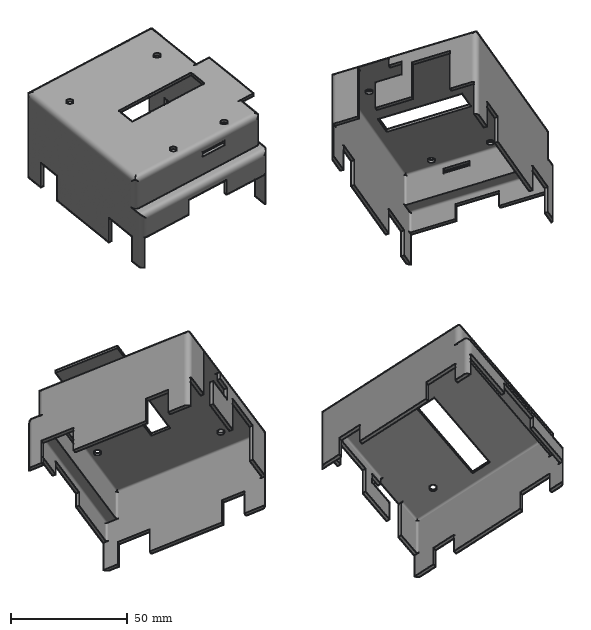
import cadquery as cq

length = 79.6
depth = 69.6
height = 47.5
wall = 1.6
edge_radius = 2.55
step_width = 5.0
step_height = 30.25
main_length = length - step_width
lower_start = main_length / 2

tab_left = 32.0
tab_right = 62.3
tab_reach = 75.5
plate_underside = height - wall

window_left, window_right = 34.9, 44.0
window_front, window_back = 23.25, 63.1
hole_diameter = 3.2
left_hole_x, left_hole_ys = 16.9, (10.7, 58.9)
right_hole_x, right_hole_ys = 69.1, (25.6, 53.65)

foot_notch_height = 14.0
foot_notches = [(10.35, 21.3), (56.75, 72.4)]

left_wall_bottom = 18.1
tongue_bottom = 19.9
tongue_front, tongue_back = 30.8, 48.15
front_opening_start = 12.8
front_opening_top = 39.4
back_opening_end = 56.5
tall_opening_start = 41.9
ledge_front = 35.7
ledge_bottom, ledge_top = 34.4, 41.6

right_wall_bottom = 17.1
right_notch_front, right_notch_back = 25.8, 46.6
right_notch_top = 25.5
slot_front, slot_back = 37.5, 49.75
slot_bottom, slot_top = 40.35, 42.8


def block(x_range, y_range, z_range):
    """Axis-aligned block between pairs of coordinates."""
    sizes = [end - start for start, end in (x_range, y_range, z_range)]
    corner = (x_range[0], y_range[0], z_range[0])
    return cq.Workplane("XY").box(*sizes, centered=False).translate(corner)


def mitred_block(x_range, y_range, z_range, edge_groups, radius):
    """Block whose rounded edges meet in mitres: one copy rounded per edge group, all intersected."""
    body = block(x_range, y_range, z_range)
    for edge_group in edge_groups:
        body = body.intersect(block(x_range, y_range, z_range).edges(edge_group).fillet(radius))
    return body


def stepped_body(inset):
    """Rounded stepped body, with every face except the bottom moved in by inset."""
    radius = edge_radius - inset
    y_range = (inset, depth - inset)
    main_x = (inset, main_length - inset)
    main_edges = ("|Z", "|X and >Z", "|Y and >Z")
    main = mitred_block(main_x, y_range, (0, height - inset), main_edges, radius)
    lower_x = (lower_start, length - inset)
    lower_edges = ("|Z and >X", "|Y and >X and >Z")
    lower = mitred_block(lower_x, y_range, (0, step_height - inset), lower_edges, radius)
    return main.union(lower)


def left_wall_cut(y_range, z_range):
    return block((0, edge_radius), y_range, z_range)


def right_wall_cut(y_range, z_range):
    return block((main_length - edge_radius, length), y_range, z_range)


shell = stepped_body(0).cut(stepped_body(wall))
rear_tab = block((tab_left, tab_right), (depth - edge_radius, tab_reach), (plate_underside, height))
shell = shell.union(rear_tab)

shell = shell.cut(block((window_left, window_right), (window_front, window_back), (plate_underside, height)))
hole_centres = [(left_hole_x, y) for y in left_hole_ys] + [(right_hole_x, y) for y in right_hole_ys]
holes = (
    cq.Workplane("XY", origin=(0, 0, plate_underside))
    .pushPoints(hole_centres)
    .circle(hole_diameter / 2)
    .extrude(wall)
)
shell = shell.cut(holes)

for notch in foot_notches:
    shell = shell.cut(block(notch, (0, depth), (0, foot_notch_height)))

inner_width = (wall, depth - wall)
left_cuts = [
    (inner_width, (0, left_wall_bottom)),
    ((tongue_front, tongue_back), (0, tongue_bottom)),
    ((front_opening_start, tongue_front), (0, front_opening_top)),
    ((tongue_back, back_opening_end), (0, plate_underside)),
    ((tall_opening_start, back_opening_end), (ledge_bottom, plate_underside)),
    ((ledge_front, back_opening_end), (ledge_bottom, ledge_top)),
]
for y_range, z_range in left_cuts:
    shell = shell.cut(left_wall_cut(y_range, z_range))

right_cuts = [
    (inner_width, (0, right_wall_bottom)),
    ((right_notch_front, right_notch_back), (0, right_notch_top)),
    ((slot_front, slot_back), (slot_bottom, slot_top)),
]
for y_range, z_range in right_cuts:
    shell = shell.cut(right_wall_cut(y_range, z_range))

result = shell